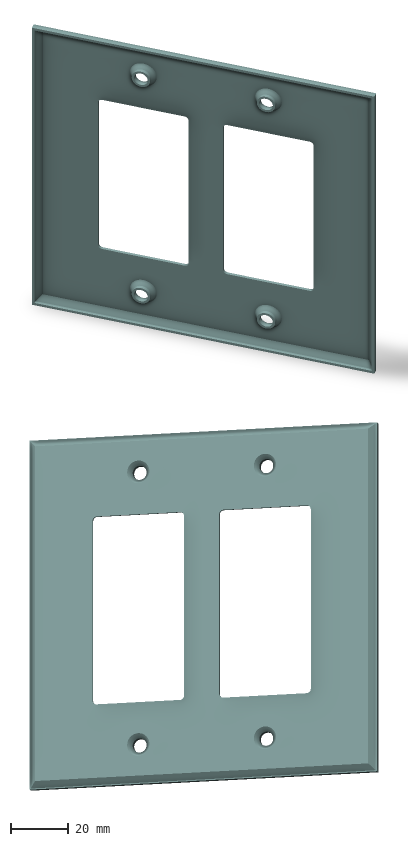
import cadquery as cq

plate_width = 125.5
plate_height = 124.0
plate_depth = 4.1

rim_depth = 2.0
ledge_width = 0.4
bevel_width = 2.1

lip_width = 1.0
face_thickness = 1.0
floor_depth = plate_depth - face_thickness
cavity_bevel_width = 2.0
cavity_bevel_depth = 2.0
mouth_depth = floor_depth - cavity_bevel_depth

gang_spacing = 45.8
window_width = 33.1
window_height = 66.8
window_corner_radius = 1.5
screw_spacing = 96.9

boss_radius = 3.4
foot_radius = 4.9
foot_height = 1.5
boss_height = 2.8
boss_root = 0.3
screw_hole_radius = 2.5
countersink_radius = 4.0
countersink_depth = 1.8

gang_centers = [-gang_spacing / 2, gang_spacing / 2]
screw_centers = [(x, z) for x in gang_centers for z in (-screw_spacing / 2, screw_spacing / 2)]


def section_plane(y):
    """Plane at height y above the open back, with local axes -X, Z and normal +Y."""
    return cq.Workplane(cq.Plane(origin=(0, y, 0), xDir=(-1, 0, 0), normal=(0, 1, 0)))


def inset_block(inset, y, depth):
    """Straight block whose sides lie a given inset inside the plate outline."""
    return section_plane(y).rect(plate_width - 2 * inset, plate_height - 2 * inset).extrude(depth)


def beveled_block(inset, bevel, y, depth):
    """Block that narrows by the bevel width on every side as Y increases."""
    top_inset = inset + bevel
    return (
        section_plane(y)
        .rect(plate_width - 2 * inset, plate_height - 2 * inset)
        .workplane(offset=depth)
        .rect(plate_width - 2 * top_inset, plate_height - 2 * top_inset)
        .loft(ruled=True)
    )


def at_screw_centers(body):
    """Copies of a body, modelled on the Y axis, at every screw position."""
    copies = cq.Workplane("XY")
    for x, z in screw_centers:
        copies = copies.add(body.translate((x, 0, z)))
    return copies.combine()


def make_shell():
    rim = inset_block(0, 0, rim_depth)
    face = beveled_block(ledge_width, bevel_width, rim_depth, plate_depth - rim_depth)
    mouth = inset_block(lip_width, 0, mouth_depth)
    cavity = beveled_block(lip_width, cavity_bevel_width, mouth_depth, cavity_bevel_depth)
    return rim.union(face).cut(mouth).cut(cavity)


def make_bosses():
    """Short round bosses standing on a conical foot on the cavity floor."""
    boss_top = floor_depth - boss_height
    foot_top = floor_depth - foot_height
    root = floor_depth + boss_root
    boss = (
        cq.Workplane("XY")
        .moveTo(0, boss_top)
        .lineTo(boss_radius, boss_top)
        .lineTo(boss_radius, foot_top)
        .lineTo(foot_radius, floor_depth)
        .lineTo(foot_radius, root)
        .lineTo(0, root)
        .close()
        .revolve(360, (0, 0, 0), (0, 1, 0))
    )
    return at_screw_centers(boss)


def make_windows():
    return (
        section_plane(0)
        .pushPoints([(x, 0) for x in gang_centers])
        .rect(window_width, window_height)
        .extrude(plate_depth)
        .edges("|Y")
        .fillet(window_corner_radius)
    )


def make_screw_holes():
    """Through holes countersunk from the face for flat-head screws."""
    return (
        section_plane(plate_depth)
        .pushPoints(screw_centers)
        .circle(screw_hole_radius)
        .extrude(-plate_depth)
        .union(make_countersinks())
    )


def make_countersinks():
    cone = cq.Workplane(
        cq.Solid.makeCone(
            countersink_radius,
            screw_hole_radius,
            countersink_depth,
            pnt=cq.Vector(0, plate_depth, 0),
            dir=cq.Vector(0, -1, 0),
        )
    )
    return at_screw_centers(cone)


result = make_shell().union(make_bosses()).cut(make_windows()).cut(make_screw_holes())